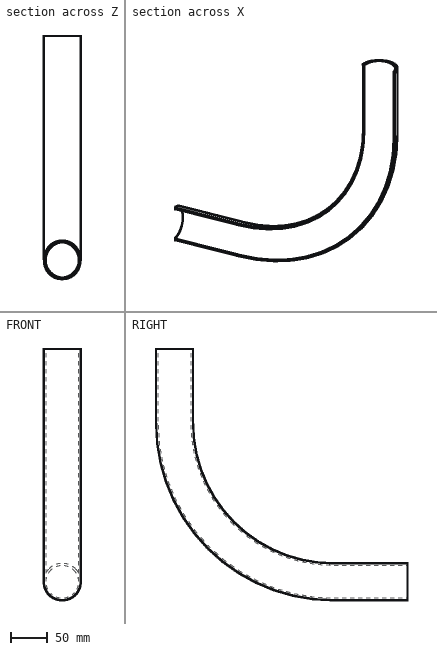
import cadquery as cq
import math

overall_length = 343.0
outer_diameter = 50.7
inner_diameter = 44.5
straight_length = 101.5

bend_radius = overall_length - straight_length - outer_diameter / 2

bend_middle = -bend_radius * math.cos(math.radians(45))
centreline = (
    cq.Workplane("YZ")
    .moveTo(-bend_radius, straight_length)
    .lineTo(-bend_radius, 0)
    .threePointArc((bend_middle, bend_middle), (0, -bend_radius))
    .lineTo(straight_length, -bend_radius)
)

result = (
    cq.Workplane("XY", origin=(0, -bend_radius, straight_length))
    .circle(outer_diameter / 2)
    .circle(inner_diameter / 2)
    .sweep(centreline)
)